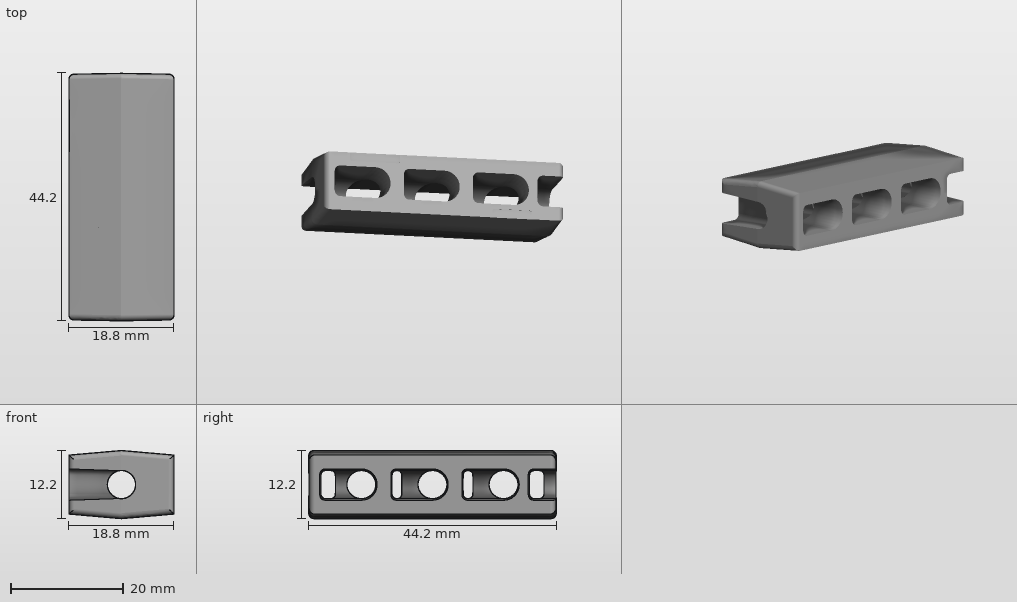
import cadquery as cq
import math

length = 44.2
width = 18.8
height = 12.2
crown_angle = 5.0
end_angle = 1.0
end_fillet = 0.97

bore_diameter = 5.0

pocket_pitch = 12.7
pocket_draft = 2.0
pocket_radius = 2.48
pocket_corner = 0.7
pocket_reach = 7.1
open_pocket_wall = 17.4
open_pocket_overrun = 2.2

label_depth = 0.1
label_corner = 0.3
upper_label_start, upper_label_end = 8.15, 17.3
lower_label_start, lower_label_end = -15.95, -8.85
label_inner_z = 3.7

half_length = length / 2
half_width = width / 2
half_height = height / 2
tolerance = 0.0005


def crowned_outline(plane, peak, angle):
    """Hexagon spanning the width, with its peaks at X = 0 and its sides vertical."""
    side = peak - half_width * math.tan(math.radians(angle))
    return cq.Workplane(plane).polyline([
        (-half_width, -side),
        (0, -peak),
        (half_width, -side),
        (half_width, side),
        (0, peak),
        (-half_width, side),
    ]).close()


def make_body():
    section = crowned_outline("XZ", half_height, crown_angle).extrude(half_length, both=True)
    plan = crowned_outline("XY", half_length, end_angle).extrude(half_height, both=True)
    return section.intersect(plan)


def is_end_outline(edge):
    """True for the outer edges of an end face, but not for its crown line on X = 0."""
    middle = edge.Center()
    near_end = abs(middle.y) > half_length - end_fillet
    on_crown_line = abs(middle.x) < tolerance
    return near_end and not on_crown_line


def round_ends(body):
    outline = [edge for edge in body.edges().vals() if is_end_outline(edge)]
    return body.newObject(outline).fillet(end_fillet)


def cut_bore(body):
    bore = cq.Workplane("XZ").circle(bore_diameter / 2).extrude(half_length, both=True)
    return body.cut(bore)


pocket_plane = cq.Plane(origin=(0, 0, 0), xDir=(0, -1, 0), normal=(-1, 0, 0))


def closed_pocket(centre_y):
    """Pocket with a square end towards +Y and a round end centred on centre_y."""
    r = pocket_radius
    c = pocket_corner
    outline = (
        cq.Workplane(pocket_plane)
        .center(-centre_y, 0)
        .moveTo(0, -r)
        .threePointArc((r, 0), (0, r))
        .lineTo(c - pocket_reach, r)
        .radiusArc((-pocket_reach, r - c), -c)
        .lineTo(-pocket_reach, c - r)
        .radiusArc((c - pocket_reach, -r), -c)
        .close()
    )
    return outline.extrude(half_width, taper=-pocket_draft)


def open_pocket():
    """Square-ended pocket that runs out through the -Y end face."""
    span = half_length + open_pocket_overrun - open_pocket_wall
    return (
        cq.Workplane(pocket_plane)
        .center(open_pocket_wall + span / 2, 0)
        .sketch()
        .rect(span, 2 * pocket_radius)
        .vertices()
        .fillet(pocket_corner)
        .finalize()
        .extrude(half_width, taper=-pocket_draft)
    )


def cut_pockets(body):
    """Cut the -X row, then the same row turned half a turn about Z for the +X side."""
    pockets = [closed_pocket(step * pocket_pitch) for step in (-1, 0, 1)]
    pockets.append(open_pocket())
    for pocket in pockets:
        body = body.cut(pocket)
        body = body.cut(pocket.rotate((0, 0, 0), (0, 0, 1), 180))
    return body


def cut_label_recess(body, start_y, end_y, side):
    """Recess on the -X face, open towards the top (side = 1) or the bottom (side = -1)."""
    recess_height = half_height - label_inner_z
    recess = (
        cq.Workplane("YZ", origin=(-half_width, 0, 0))
        .center((start_y + end_y) / 2, side * (label_inner_z + recess_height / 2))
        .rect(end_y - start_y, recess_height)
        .extrude(label_depth)
        .edges("|X")
        .fillet(label_corner)
    )
    return body.cut(recess)


body = round_ends(make_body())
body = cut_pockets(body)
body = cut_bore(body)
body = cut_label_recess(body, upper_label_start, upper_label_end, 1)
result = cut_label_recess(body, lower_label_start, lower_label_end, -1)